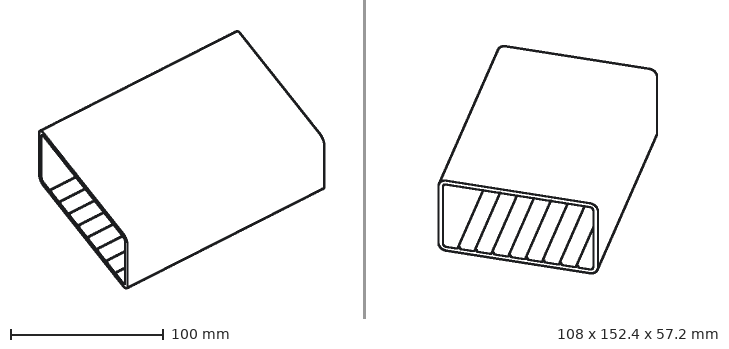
import cadquery as cq
import math

width = 107.95
length = 152.4
height = 57.15
wall = 3.175
outer_radius = 5.55625
inner_radius = outer_radius - wall

rib_count = 8
rib_pitch = 11.43
rib_radius = 0.762

floor_z = -height / 2 + wall


def rounded_bar(size_x, size_z, radius):
    """Full-length bar along Y with its four long edges rounded."""
    return cq.Workplane("XY").box(size_x, length, size_z).edges("|Y").fillet(radius)


def floor_rib(center_x):
    """Full-length rib: a half-round crown blended into the floor by a quarter-round on each side."""
    foot_x = 2 * rib_radius
    crown_base_z = floor_z + rib_radius
    crown_top_z = crown_base_z + rib_radius
    arc_offset = rib_radius * math.sin(math.pi / 4)
    root_mid_x = foot_x - arc_offset
    root_mid_z = crown_base_z - arc_offset
    buried_z = floor_z - wall / 2

    return (
        cq.Workplane("XZ", origin=(center_x, length / 2, 0))
        .moveTo(-foot_x, buried_z)
        .lineTo(-foot_x, floor_z)
        .threePointArc((-root_mid_x, root_mid_z), (-rib_radius, crown_base_z))
        .threePointArc((0, crown_top_z), (rib_radius, crown_base_z))
        .threePointArc((root_mid_x, root_mid_z), (foot_x, floor_z))
        .lineTo(foot_x, buried_z)
        .close()
        .extrude(length)
    )


outer_body = rounded_bar(width, height, outer_radius)
cavity = rounded_bar(width - 2 * wall, height - 2 * wall, inner_radius)
result = outer_body.cut(cavity)

first_rib_x = -rib_pitch * (rib_count - 1) / 2
for index in range(rib_count):
    result = result.union(floor_rib(first_rib_x + index * rib_pitch))